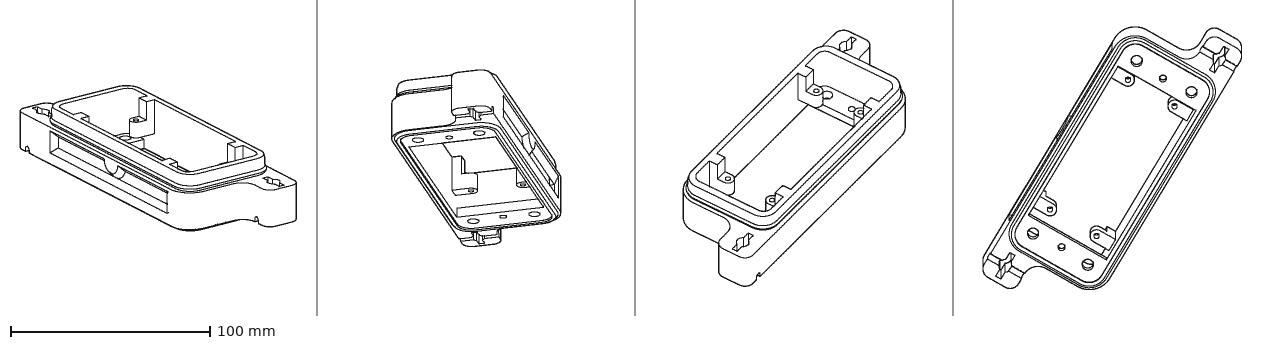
import cadquery as cq

total_length = 165.0
total_depth = 58.0
total_height = 30.2

block_length = 127.7
block_bottom = 1.5
block_top = 21.3
ear_depth = 20.0
block_corner_radius = 11.9
ear_corner_radius = 5.0
ear_root_radius = 8.0

lip_length = 125.7
lip_depth = 55.1
lip_corner_radius = 10.2
lip_taper = 38.0
lip_rim_width = 3.0
underside_recess = 1.0

neck_length = 123.1
neck_depth = 52.6
neck_corner_radius = 8.5
neck_bevel_height = 2.0
neck_bevel_taper = 16.0
bead_half_height = 1.5
bead_reach = 0.8
bead_bulge = 0.2
bead_root = 1.6

cavity_length = 114.0
cavity_depth = 45.2
cavity_corner_radius = 4.6
floor_opening_length = 89.1
ledge_top = 6.0
ledge_hole_diameter = 5.6
ledge_hole_spacing_x = 103.0
ledge_hole_spacing_y = 31.8
pilot_hole_diameter = 3.5
pilot_hole_x = 50.3

post_spacing = 77.4
post_width = 6.6
post_rib_depth = 5.0
post_root = 1.6
post_bottom = 11.9
post_seat = 20.3
screw_y = 13.5
screw_hole_diameter = 2.6

keyhole_x = 73.0
keyhole_y = 19.5
keyhole_diameter = 6.5
keyhole_slot_length = 14.0
keyhole_slot_width = 3.0
groove_width = 3.0
groove_height = 3.1

pocket_left = -53.1
pocket_right = 49.2
pocket_bottom = 7.5
pocket_top = 19.3
pocket_bevel = 3.0
pocket_bend_start = 41.7
pocket_bend_radius = 8.5
tab_radius = 6.0

front_y = -total_depth / 2
cavity_front_y = -cavity_depth / 2


def rounded_prism(length, depth, radius, bottom, height, taper=0):
    """Upright prism on a centred rounded rectangle, narrowing by the taper angle."""
    outline = cq.Sketch().rect(length, depth).vertices().fillet(radius)
    return cq.Workplane("XY").workplane(offset=bottom).placeSketch(outline).extrude(height, taper=taper)


def box_between(x_range, y_range, z_range):
    sizes = [high - low for low, high in (x_range, y_range, z_range)]
    corner = (x_range[0], y_range[0], z_range[0])
    return cq.Workplane("XY").box(*sizes, centered=False).translate(corner)


def vertical_holes(diameter, points):
    return cq.Workplane("XY").pushPoints(points).circle(diameter / 2).extrude(total_height)


def make_block():
    ear_x = total_length / 2
    block_x = block_length / 2
    block_y = total_depth / 2
    ear_y = block_y - ear_depth
    block = (
        cq.Workplane("XY")
        .workplane(offset=block_bottom)
        .polyline([
            (-ear_x, -block_y), (block_x, -block_y), (block_x, ear_y), (ear_x, ear_y),
            (ear_x, block_y), (-block_x, block_y), (-block_x, -ear_y), (-ear_x, -ear_y),
        ])
        .close()
        .extrude(block_top - block_bottom)
    )
    block = block.edges("|Z and (<X or >X)").fillet(ear_corner_radius)
    middle_z = (block_bottom + block_top) / 2
    corners = [
        (-block_x, block_y, block_corner_radius),
        (block_x, -block_y, block_corner_radius),
        (-block_x, -ear_y, ear_root_radius),
        (block_x, ear_y, ear_root_radius),
    ]
    for x, y, radius in corners:
        corner_edge = cq.selectors.NearestToPointSelector((x, y, middle_z))
        block = block.edges(corner_edge).fillet(radius)
    return block


def make_lip():
    lip = rounded_prism(lip_length, lip_depth, lip_corner_radius, 0, block_bottom, lip_taper)
    return lip.mirror("XY").translate((0, 0, block_bottom))


def make_underside_recess():
    return rounded_prism(
        lip_length - 2 * lip_rim_width, lip_depth - 2 * lip_rim_width,
        lip_corner_radius - lip_rim_width, 0, underside_recess,
    )


def make_neck():
    bevel_bottom = total_height - neck_bevel_height
    straight = rounded_prism(
        neck_length, neck_depth, neck_corner_radius, block_top, bevel_bottom - block_top
    )
    bevel = rounded_prism(
        neck_length, neck_depth, neck_corner_radius, bevel_bottom, neck_bevel_height, neck_bevel_taper
    )
    return straight.union(bevel)


def make_bead():
    """Bead around the foot of the neck: two shallow arcs meeting in a sharp outer edge."""
    middle_z = block_top + bead_half_height
    path = rounded_prism(neck_length, neck_depth, neck_corner_radius, middle_z, 1.6).faces("<Z").wires()
    mid_arc_reach = bead_reach / 2 + bead_bulge
    mid_arc_rise = bead_half_height / 2
    profile = (
        cq.Workplane("YZ", origin=(0, -neck_depth / 2, middle_z))
        .moveTo(bead_root, bead_half_height)
        .lineTo(0, bead_half_height)
        .threePointArc((-mid_arc_reach, mid_arc_rise), (-bead_reach, 0))
        .threePointArc((-mid_arc_reach, -mid_arc_rise), (0, -bead_half_height))
        .lineTo(bead_root, -bead_half_height)
        .close()
    )
    return profile.sweep(path)


def make_cavity():
    cavity = rounded_prism(
        cavity_length, cavity_depth, cavity_corner_radius, ledge_top, total_height - ledge_top
    )
    half_opening = floor_opening_length / 2
    opening = box_between(
        (-half_opening, half_opening), (cavity_front_y, -cavity_front_y), (0, total_height)
    )
    return cavity.union(opening)


def make_ledge_holes():
    x = ledge_hole_spacing_x / 2
    y = ledge_hole_spacing_y / 2
    corners = [(-x, -y), (-x, y), (x, -y), (x, y)]
    pilots = [(-pilot_hole_x, 0), (pilot_hole_x, 0)]
    return vertical_holes(ledge_hole_diameter, corners).union(vertical_holes(pilot_hole_diameter, pilots))


def make_post():
    """Front-wall post at x = 0: a full-height rib carrying a lower rounded screw boss."""
    half_width = post_width / 2
    x_range = (-half_width, half_width)
    root_y = cavity_front_y - post_root
    rib = box_between(x_range, (root_y, cavity_front_y + post_rib_depth), (post_bottom, total_height))
    seat = box_between(x_range, (root_y, -screw_y), (post_bottom, post_seat))
    nose = (
        cq.Workplane("XY", origin=(0, -screw_y, post_bottom))
        .circle(half_width)
        .extrude(post_seat - post_bottom)
    )
    return rib.union(seat).union(nose).cut(vertical_holes(screw_hole_diameter, [(0, -screw_y)]))


def make_keyhole():
    slot = cq.Workplane("XY").rect(keyhole_slot_length, keyhole_slot_width).extrude(total_height)
    return slot.union(vertical_holes(keyhole_diameter, [(0, 0)]))


def make_groove():
    """Round-topped groove under the ear at x = 0, running along Y."""
    radius = groove_width / 2
    straight_top = block_bottom + groove_height - radius
    return (
        cq.Workplane("XZ")
        .moveTo(-radius, 0)
        .lineTo(radius, 0)
        .lineTo(radius, straight_top)
        .threePointArc((0, straight_top + radius), (-radius, straight_top))
        .close()
        .extrude(total_depth / 2, both=True)
    )


def make_pocket():
    """Bevelled pocket whose floor bends into the cavity at its right end."""
    floor_y = front_y + pocket_bevel
    floor_bottom = pocket_bottom + pocket_bevel
    floor_top = pocket_top - pocket_bevel
    undercut_right = pocket_right + pocket_bevel
    cross_section = (
        cq.Workplane("YZ", origin=(pocket_left, 0, 0))
        .polyline([
            (front_y, pocket_bottom), (floor_y, floor_bottom), (cavity_front_y, floor_bottom),
            (cavity_front_y, floor_top), (floor_y, floor_top), (front_y, pocket_top),
        ])
        .close()
        .extrude(undercut_right - pocket_left)
    )
    bend_depth = cavity_front_y - floor_y
    bend_length = (pocket_bend_radius**2 - (pocket_bend_radius - bend_depth) ** 2) ** 0.5
    plan = (
        cq.Workplane("XY")
        .moveTo(pocket_left, front_y)
        .lineTo(pocket_left + pocket_bevel, floor_y)
        .lineTo(pocket_bend_start, floor_y)
        .radiusArc((pocket_bend_start + bend_length, cavity_front_y), -pocket_bend_radius)
        .lineTo(undercut_right, cavity_front_y)
        .lineTo(undercut_right, floor_y)
        .lineTo(pocket_right, front_y)
        .close()
        .extrude(total_height)
    )
    tab = cq.Workplane(
        cq.Solid.makeCone(
            tab_radius, tab_radius + pocket_bevel, pocket_bevel,
            pnt=cq.Vector(0, front_y, pocket_top), dir=cq.Vector(0, 1, 0),
        )
    )
    return cross_section.intersect(plan).cut(tab)


result = make_block().union(make_lip()).union(make_neck()).union(make_bead())
result = result.cut(make_underside_recess()).cut(make_cavity()).cut(make_ledge_holes()).cut(make_pocket())

for side in (-1, 1):
    result = result.cut(make_keyhole().translate((side * keyhole_x, side * keyhole_y, 0)))
    result = result.cut(make_groove().translate((side * keyhole_x, 0, 0)))

front_post = make_post()
back_post = front_post.mirror("XZ")
for x in (-post_spacing / 2, post_spacing / 2):
    for post in (front_post, back_post):
        result = result.union(post.translate((x, 0, 0)))